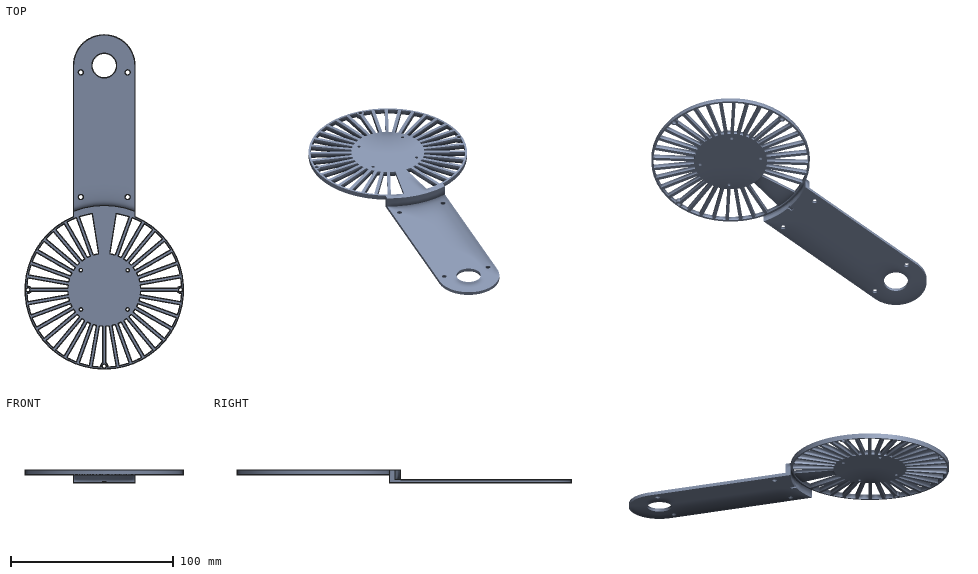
import cadquery as cq
import math

total_height = 8.0
wheel_thickness = 3.0
wedge_thickness = 2.0
arm_thickness = 2.0
wheel_bottom = total_height - wheel_thickness
wedge_bottom = total_height - wedge_thickness

rim_radius = 97.75 / 2
rim_inner_radius = 47.6
rim_middle_radius = (rim_inner_radius + rim_radius) / 2
hub_radius = 22.5
spoke_pitch = 10
spoke_width = 2.0
wedge_half_angle = 9.0
wedge_direction = 90

hub_hole_diameter = 2.0
hub_hole_x = 14.4
hub_hole_y = 12.1
rim_hole_diameter = 2.4
rim_hole_radius = 47.0
rim_boss_diameter = 4.4
rim_hole_directions = (0, 180, 270)

overall_length = 206.1
arm_width = 38.0
arm_end_radius = arm_width / 2
arm_end_y = overall_length - rim_radius - arm_end_radius
large_hole_diameter = 15.0
arm_hole_diameter = 3.0
arm_hole_x = 14.4
arm_hole_rows = (57.2, 134.0)

riser_radius = 52.0
riser_notch_width = 2.0
riser_notch_height = 1.0


def disc(radius, bottom, height, x=0, y=0):
    """Upright cylinder whose base is centred at (x, y, bottom)."""
    return cq.Workplane("XY", origin=(x, y, bottom)).circle(radius).extrude(height)


def polar(radius, degrees):
    """Point at the given radius and direction around the wheel axis."""
    angle = math.radians(degrees)
    return radius * math.cos(angle), radius * math.sin(angle)


def make_spoke(direction):
    """Straight bar from the hub to the middle of the rim."""
    bar = cq.Workplane("XY", origin=(0, 0, wheel_bottom)).rect(rim_middle_radius, spoke_width)
    bar = bar.extrude(wheel_thickness).translate((rim_middle_radius / 2, 0, 0))
    return bar.rotate((0, 0, 0), (0, 0, 1), direction)


def make_wedge():
    """Solid sector joining the hub to the rim on the arm side."""
    return (
        cq.Workplane("XY", origin=(0, 0, wedge_bottom))
        .lineTo(*polar(rim_middle_radius, wedge_direction - wedge_half_angle))
        .threePointArc(
            polar(rim_middle_radius, wedge_direction),
            polar(rim_middle_radius, wedge_direction + wedge_half_angle),
        )
        .close()
        .extrude(wedge_thickness)
    )


def make_wheel():
    """Hub, spokes, rim and the small bosses around the rim holes."""
    wheel = disc(rim_radius, wheel_bottom, wheel_thickness)
    wheel = wheel.cut(disc(rim_inner_radius, wheel_bottom, wheel_thickness))
    wheel = wheel.union(make_wedge())
    for direction in range(0, 360, spoke_pitch):
        if abs(direction - wedge_direction) > spoke_pitch:
            wheel = wheel.union(make_spoke(direction))
    wheel = wheel.union(disc(hub_radius, wheel_bottom, wheel_thickness))
    for direction in rim_hole_directions:
        x, y = polar(rim_hole_radius, direction)
        boss = disc(rim_boss_diameter / 2, wheel_bottom, wheel_thickness, x, y)
        wheel = wheel.union(boss.intersect(disc(rim_radius, wheel_bottom, wheel_thickness)))
    return wheel


def make_arm_blank(height):
    """Arm outline of the given height, ending in a hollow that follows the rim."""
    blank = cq.Workplane("XY").rect(arm_width, arm_end_y).extrude(height)
    blank = blank.translate((0, arm_end_y / 2, 0))
    blank = blank.union(disc(arm_end_radius, 0, height, 0, arm_end_y))
    return blank.cut(disc(rim_radius, 0, height))


def make_arm():
    """Thin arm plate and full-height riser, with a notch in the underside of the riser."""
    riser = make_arm_blank(total_height).intersect(disc(riser_radius, 0, total_height))
    notch = cq.Workplane("XY").rect(riser_notch_width, 2 * riser_radius).extrude(riser_notch_height)
    return make_arm_blank(arm_thickness).union(riser).cut(notch)


def cut_holes(part):
    """Cut every round through hole."""
    holes = [(0, arm_end_y, large_hole_diameter)]
    for side in (-1, 1):
        for y in arm_hole_rows:
            holes.append((side * arm_hole_x, y, arm_hole_diameter))
        for y in (-hub_hole_y, hub_hole_y):
            holes.append((side * hub_hole_x, y, hub_hole_diameter))
    for direction in rim_hole_directions:
        holes.append((*polar(rim_hole_radius, direction), rim_hole_diameter))
    for x, y, diameter in holes:
        part = part.cut(disc(diameter / 2, 0, total_height, x, y))
    return part


result = cut_holes(make_wheel().union(make_arm()))